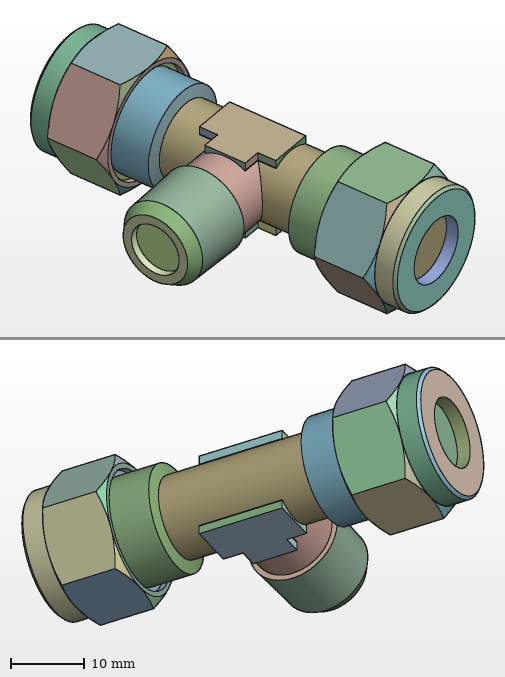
import cadquery as cq
import math

run_length = 62.0
tube_radius = 6.1
rim_length = 3.5
rim_radius = 9.4
rim_chamfer = 0.45
hex_length = 10.0
hex_flats = 19.0
hex_chamfer_angle = 30.0
collar_length = 6.2
collar_radius = 7.95
collar_shoulder = 0.5
socket_radius = 5.1
socket_depth = 2.0
recess_radius = 8.75
recess_depth = 0.9

branch_end = 22.5
thread_start = 11.4
thread_start_radius = 6.9
thread_end_radius = 6.65
tip_radius = 5.45
tip_length = 1.85
bore_radius = 4.0
bore_depth = 1.2

pad_half_width = 6.45
pad_half_depth = 3.5
stem_half_width = 3.4
stem_end = 6.4
pad_height = 6.45
pad_thickness = 1.35

half_run = run_length / 2
hex_outer = half_run - rim_length
hex_inner = hex_outer - hex_length
collar_inner = hex_inner - collar_length


def revolve_about_x(points):
    return cq.Workplane("XY").polyline(points).close().revolve(360, (0, 0, 0), (1, 0, 0))


def make_hex():
    """Hexagon with flats on +Z and -Z and its corners turned off, recessed around the collar."""
    corner_radius = hex_flats / math.sqrt(3)
    flat_radius = hex_flats / 2
    chamfer = (corner_radius - flat_radius) * math.tan(math.radians(hex_chamfer_angle))
    prism = (
        cq.Workplane("YZ", origin=(hex_inner, 0, 0))
        .polygon(6, 2 * corner_radius)
        .extrude(hex_length)
    )
    envelope = revolve_about_x([
        (hex_inner, 0),
        (hex_inner, flat_radius),
        (hex_inner + chamfer, corner_radius),
        (hex_outer - chamfer, corner_radius),
        (hex_outer, flat_radius),
        (hex_outer, 0),
    ])
    recess = cq.Workplane("YZ", origin=(hex_inner, 0, 0)).circle(recess_radius).extrude(recess_depth)
    return prism.intersect(envelope).cut(recess)


def make_nut():
    """Collar with conical shoulder, hexagon and rim on the +X side, with the tube socket."""
    collar = revolve_about_x([
        (collar_inner, 0),
        (collar_inner, tube_radius),
        (collar_inner + collar_shoulder, collar_radius),
        (hex_inner + recess_depth, collar_radius),
        (hex_inner + recess_depth, 0),
    ])
    rim = revolve_about_x([
        (hex_outer, 0),
        (hex_outer, rim_radius),
        (half_run - rim_chamfer, rim_radius),
        (half_run, rim_radius - rim_chamfer),
        (half_run, 0),
    ])
    socket = cq.Workplane("YZ", origin=(half_run, 0, 0)).circle(socket_radius).extrude(-socket_depth)
    return collar.union(make_hex()).union(rim).cut(socket)


def make_branch():
    profile = [
        (0, 0),
        (tube_radius, 0),
        (tube_radius, -thread_start),
        (thread_start_radius, -thread_start),
        (thread_end_radius, -branch_end + tip_length),
        (tip_radius, -branch_end),
        (bore_radius, -branch_end),
        (bore_radius, -branch_end + bore_depth),
        (0, -branch_end + bore_depth),
    ]
    return cq.Workplane("XY").polyline(profile).close().revolve(360, (0, 0, 0), (0, 1, 0))


def make_pad():
    outline = [
        (-pad_half_width, pad_half_depth),
        (pad_half_width, pad_half_depth),
        (pad_half_width, -pad_half_depth),
        (stem_half_width, -pad_half_depth),
        (stem_half_width, -stem_end),
        (-stem_half_width, -stem_end),
        (-stem_half_width, -pad_half_depth),
        (-pad_half_width, -pad_half_depth),
    ]
    return (
        cq.Workplane("XY", origin=(0, 0, pad_height))
        .polyline(outline)
        .close()
        .extrude(-pad_thickness)
    )


tube = cq.Workplane("YZ", origin=(-collar_inner, 0, 0)).circle(tube_radius).extrude(2 * collar_inner)
nut = make_nut()
pad = make_pad()

result = (
    tube.union(make_branch())
    .union(nut)
    .union(nut.mirror("YZ"))
    .union(pad)
    .union(pad.mirror("XY"))
)